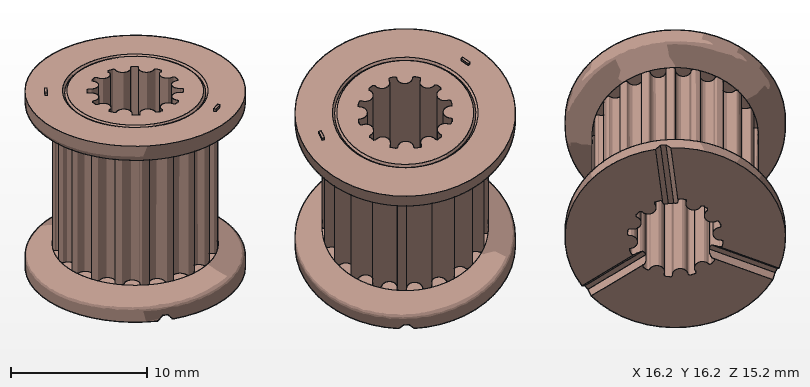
import cadquery as cq
import math

flange_radius = 8.11
flange_height = 2.0
flange_slope = 20.0
flange_edge_fillet = 0.5
body_height = 14.99

outer_tooth_count = 20
body_radius = 6.11
outer_groove_depth = 0.76
outer_groove_radius = 0.58
outer_lip_fillet = 0.16

inner_tooth_count = 12
bore_root_radius = 3.54
bore_tip_radius = 2.79
inner_tooth_radius = 0.58
inner_root_fillet = 0.15

ring_mid_radius = 5.19
ring_half_width = 0.16
ring_depth = 0.16

channel_count = 3
channel_base_width = 1.14
channel_top_width = 0.4
channel_depth = 0.44

dash_height = 0.21
dash_length = 0.73
dash_width = 0.2
dash_orbit_radius = 6.57
dash_angles = (50.0, 257.0)

pick_margin = 0.02


def flange_disc():
    """Disc on the XY plane with a sloped, edge-rounded upper side."""
    slope_drop = (flange_radius - body_radius) * math.tan(math.radians(flange_slope))
    rim_height = flange_height - slope_drop
    disc = (
        cq.Workplane("XZ")
        .moveTo(0, 0)
        .lineTo(flange_radius, 0)
        .lineTo(flange_radius, rim_height)
        .lineTo(body_radius, flange_height)
        .lineTo(0, flange_height)
        .close()
        .revolve(360, (0, 0, 0), (0, 1, 0))
    )
    pick_reach = flange_radius + pick_margin
    rim_edge = cq.selectors.BoxSelector(
        (-pick_reach, -pick_reach, rim_height - pick_margin),
        (pick_reach, pick_reach, rim_height + pick_margin),
        boundingbox=True,
    )
    return disc.edges(rim_edge).fillet(flange_edge_fillet)


def round_nosed_slot(nose_radius, nose_center, open_end, height):
    """Prism along +X whose inner end is round and whose outer end is open."""
    return (
        cq.Workplane("XY")
        .moveTo(open_end, -nose_radius)
        .lineTo(nose_center, -nose_radius)
        .threePointArc((nose_center - nose_radius, 0), (nose_center, nose_radius))
        .lineTo(open_end, nose_radius)
        .close()
        .extrude(height)
    )


def edges_at_radius(body, radius):
    """Upright edges of the body that stand at a given distance from its axis."""
    upright = body.edges("|Z").vals()
    chosen = [e for e in upright if abs(math.hypot(e.Center().x, e.Center().y) - radius) < pick_margin]
    return body.newObject(chosen)


def without_slots(cylinder, slot, count):
    """Cylinder with equally spaced copies of a slot cut from it, the first along +X."""
    for index in range(count):
        cylinder = cylinder.cut(slot.rotate((0, 0, 0), (0, 0, 1), index * 360 / count))
    return cylinder


def toothed_body():
    nose_center = body_radius - outer_groove_depth + outer_groove_radius
    slot = round_nosed_slot(outer_groove_radius, nose_center, flange_radius, body_height)
    body = cq.Workplane("XY").circle(body_radius).extrude(body_height)
    body = without_slots(body, slot, outer_tooth_count)
    return edges_at_radius(body, body_radius).fillet(outer_lip_fillet)


def toothed_bore():
    nose_center = bore_tip_radius + inner_tooth_radius
    tooth = round_nosed_slot(inner_tooth_radius, nose_center, flange_radius, body_height)
    bore = cq.Workplane("XY").circle(bore_root_radius).extrude(body_height)
    bore = without_slots(bore, tooth, inner_tooth_count)
    return edges_at_radius(bore, bore_root_radius).fillet(inner_root_fillet)


def ring_groove():
    return (
        cq.Workplane("XZ")
        .moveTo(ring_mid_radius - ring_half_width, body_height)
        .lineTo(ring_mid_radius, body_height - ring_depth)
        .lineTo(ring_mid_radius + ring_half_width, body_height)
        .close()
        .revolve(360, (0, 0, 0), (0, 1, 0))
    )


def bottom_channel():
    """Bar along +X with a trapezoid section, widest at the bottom face."""
    return (
        cq.Workplane("YZ")
        .moveTo(-channel_base_width / 2, 0)
        .lineTo(-channel_top_width / 2, channel_depth)
        .lineTo(channel_top_width / 2, channel_depth)
        .lineTo(channel_base_width / 2, 0)
        .close()
        .extrude(flange_radius)
    )


def raised_dash(angle):
    return (
        cq.Workplane("XY")
        .box(dash_width, dash_length, dash_height, centered=(True, True, False))
        .translate((dash_orbit_radius, 0, body_height))
        .rotate((0, 0, 0), (0, 0, 1), angle)
    )


bottom_flange = flange_disc()
top_flange = bottom_flange.rotate((0, 0, 0), (1, 0, 0), 180).translate((0, 0, body_height))

result = toothed_body().union(bottom_flange).union(top_flange)
result = result.cut(toothed_bore()).cut(ring_groove())

for index in range(channel_count):
    result = result.cut(bottom_channel().rotate((0, 0, 0), (0, 0, 1), index * 360 / channel_count))

for dash_angle in dash_angles:
    result = result.union(raised_dash(dash_angle))